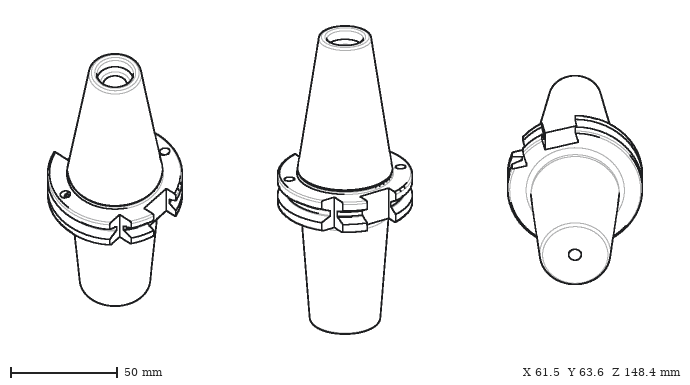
import cadquery as cq
import math

ARC_MID = 1 - math.sqrt(0.5)

RIM_TOLERANCE = 0.001

total_length = 148.4
taper_length = 68.4
gauge_z = total_length - taper_length
flange_drop = 3.1
flange_top_z = gauge_z - flange_drop
flange_thickness = 15.9
flange_bottom_z = flange_top_z - flange_thickness

gauge_radius = 22.3
taper_ratio = 7 / 24
taper_end_round = 1.2
taper_overrun = 1.0

neck_radius = 22.0
neck_round = 0.7
neck_lead_length = 0.9

flange_radius = 31.8
flange_round = 0.9
groove_root_radius = 27.9
groove_center_drop = 7.9
groove_mouth_width = 7.1
groove_root_fillet = 0.5
groove_flank_angle = 30.0

drive_slot_width = 16.2
left_slot_floor = 22.4
right_slot_floor = 24.8
notch_corner = 18.5

collar_radius = 20.8
collar_fillet = 2.4
collar_length = 4.2
nose_radius = 16.6
nose_round = 1.3

recess_radius = 8.6
recess_round = 1.0
recess_depth = 5.6
seat_radius = 7.0
seat_depth = 7.3
bore_radius = 5.6
bore_shoulder_depth = 8.8
bore_depth = 32.0
through_radius = 3.0

port_radius = 2.1
port_depth = 3.1
feed_radius = 1.2
feed_length = 2.2
port_circle_radius = 27.0
port_clocking = 70.0
port_tilt = 30.0


class RimSelector(cq.Selector):
    """Picks the full circles of one radius at the given heights."""

    def __init__(self, radius, heights):
        self.radius = radius
        self.heights = heights

    def filter(self, edges):
        return [edge for edge in edges if self.matches(edge)]

    def matches(self, edge):
        if edge.geomType() != "CIRCLE" or abs(edge.radius() - self.radius) > RIM_TOLERANCE:
            return False
        return any(abs(edge.Center().z - z) < RIM_TOLERANCE for z in self.heights)


def make_body():
    taper_base_z = gauge_z - taper_overrun
    taper_top_radius = gauge_radius - taper_length * taper_ratio / 2
    taper_base_radius = gauge_radius + taper_overrun * taper_ratio / 2
    neck_start_z = taper_base_z - neck_lead_length
    groove_z = flange_top_z - groove_center_drop
    mouth_half = groove_mouth_width / 2
    flank_rise = (flange_radius - groove_root_radius) * math.tan(math.radians(groove_flank_angle))
    root_half = mouth_half - flank_rise
    collar_top_z = flange_bottom_z - collar_fillet

    profile = (
        cq.Workplane("XZ")
        .moveTo(0, 0)
        .lineTo(nose_radius, 0)
        .lineTo(collar_radius, flange_bottom_z - collar_length)
        .lineTo(collar_radius, collar_top_z)
        .threePointArc(
            (collar_radius + ARC_MID * collar_fillet, flange_bottom_z - ARC_MID * collar_fillet),
            (collar_radius + collar_fillet, flange_bottom_z),
        )
        .lineTo(flange_radius, flange_bottom_z)
        .lineTo(flange_radius, groove_z - mouth_half)
        .lineTo(groove_root_radius, groove_z - root_half)
        .lineTo(groove_root_radius, groove_z + root_half)
        .lineTo(flange_radius, groove_z + mouth_half)
        .lineTo(flange_radius, flange_top_z)
        .lineTo(neck_radius + neck_round, flange_top_z)
        .threePointArc(
            (neck_radius + ARC_MID * neck_round, flange_top_z + ARC_MID * neck_round),
            (neck_radius, flange_top_z + neck_round),
        )
        .lineTo(neck_radius, neck_start_z)
        .lineTo(taper_base_radius, taper_base_z)
        .lineTo(taper_top_radius, total_length)
        .lineTo(0, total_length)
        .close()
    )
    body = profile.revolve(360, (0, 0, 0), (0, 1, 0))
    flange_rims = RimSelector(flange_radius, (flange_bottom_z, flange_top_z))
    groove_corners = RimSelector(groove_root_radius, (groove_z - root_half, groove_z + root_half))
    body = body.edges(flange_rims).fillet(flange_round)
    body = body.edges(groove_corners).fillet(groove_root_fillet)
    body = body.faces(">Z").edges().fillet(taper_end_round)
    return body.faces("<Z").edges().fillet(nose_round)


def make_bore():
    return (
        cq.Workplane("XZ")
        .moveTo(0, 0)
        .lineTo(through_radius, 0)
        .lineTo(through_radius, total_length - bore_depth)
        .lineTo(bore_radius, total_length - bore_depth)
        .lineTo(bore_radius, total_length - bore_shoulder_depth)
        .lineTo(seat_radius, total_length - seat_depth)
        .lineTo(recess_radius, total_length - recess_depth)
        .lineTo(recess_radius, total_length - recess_round)
        .threePointArc(
            (recess_radius + ARC_MID * recess_round, total_length - ARC_MID * recess_round),
            (recess_radius + recess_round, total_length),
        )
        .lineTo(0, total_length)
        .close()
        .revolve(360, (0, 0, 0), (0, 1, 0))
    )


def flange_cutter(x_min, x_max, y_min, y_max):
    return cq.Workplane("XY").box(
        x_max - x_min, y_max - y_min, flange_thickness, centered=False
    ).translate((x_min, y_min, flange_bottom_z))


def make_port(clocking):
    downward = math.cos(math.radians(port_tilt))
    inward = math.sin(math.radians(port_tilt))
    overshoot = 2 * port_radius
    mouth = cq.Vector(port_circle_radius, 0, flange_top_z)
    axis = cq.Vector(-inward, 0, -downward)
    port = cq.Solid.makeCylinder(port_radius, port_depth + overshoot, mouth - axis * overshoot, axis)
    feed = cq.Solid.makeCylinder(feed_radius, port_depth + feed_length, mouth, axis)
    return cq.Workplane(port.fuse(feed)).rotate((0, 0, 0), (0, 0, 1), clocking)


slot_half = drive_slot_width / 2
result = make_body().cut(make_bore())
result = result.cut(flange_cutter(-flange_radius, -left_slot_floor, -slot_half, slot_half))
result = result.cut(flange_cutter(right_slot_floor, flange_radius, -slot_half, slot_half))
result = result.cut(flange_cutter(notch_corner, flange_radius, -flange_radius, -notch_corner))
for clocking in (port_clocking, port_clocking + 180):
    result = result.cut(make_port(clocking))